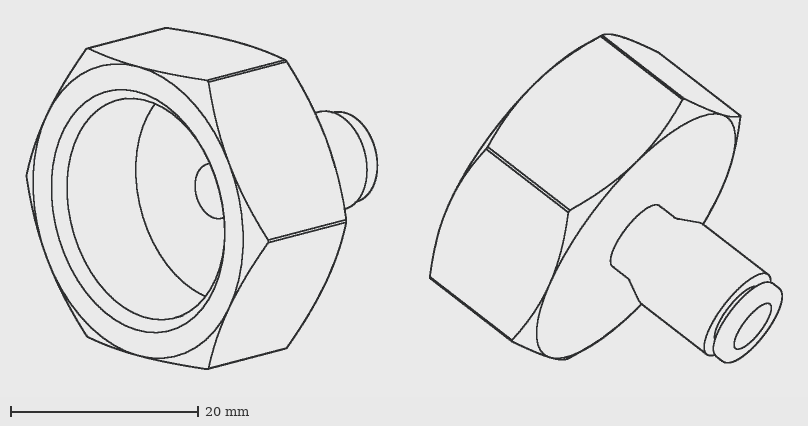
import cadquery as cq
import math

across_flats = 32.0
corner_diameter = 36.8
nut_length = 14.5
corner_chamfer_angle = 30.0

bore_diameter = 24.05
bore_depth = 11.5
mouth_diameter = 26.42
hole_diameter = 6.0

total_length = 31.17
neck_diameter = 8.2
neck_end = 16.93
body_diameter = 10.8
body_start = 19.6
body_end = 29.0
groove_diameter = 7.45
collar_start = 29.77
collar_diameter = 9.9
collar_fillet = 0.3
shoulder_fillet = 0.75


def revolve_profile(points):
    """Revolve a closed (radius, Y) outline about the Y axis."""
    return cq.Workplane("XY").polyline(points).close().revolve(360, (0, 0, 0), (0, 1, 0))


def cylinder(diameter, start, end):
    """Cylinder along +Y between two stations."""
    return (
        cq.Workplane("XZ", origin=(0, start, 0))
        .circle(diameter / 2)
        .extrude(start - end)
    )


def make_nut():
    """Hexagon with flats facing Z, turned to a cone at both ends."""
    hexagon_diameter = across_flats / math.cos(math.radians(30))
    hexagon = cq.Workplane("XZ").polygon(6, hexagon_diameter).extrude(-nut_length)
    face_radius = across_flats / 2
    corner_radius = corner_diameter / 2
    slope = math.tan(math.radians(corner_chamfer_angle))
    chamfer_length = (corner_radius - face_radius) * slope
    envelope = revolve_profile([
        (0, 0),
        (face_radius, 0),
        (corner_radius, chamfer_length),
        (corner_radius, nut_length - chamfer_length),
        (face_radius, nut_length),
        (0, nut_length),
    ])
    return hexagon.intersect(envelope)


def make_stem():
    """Neck flaring out to the tube body, with blended shoulders."""
    neck_radius = neck_diameter / 2
    body_radius = body_diameter / 2
    stem = revolve_profile([
        (0, nut_length),
        (neck_radius, nut_length),
        (neck_radius, neck_end),
        (body_radius, body_start),
        (body_radius, body_end),
        (0, body_end),
    ])
    shoulders = cq.selectors.BoxSelector(
        (-body_diameter, (nut_length + neck_end) / 2, -body_diameter),
        (body_diameter, (body_start + body_end) / 2, body_diameter),
        boundingbox=True,
    )
    return stem.edges("%CIRCLE").edges(shoulders).fillet(shoulder_fillet)


def make_collar():
    """Release collar standing off the body behind a narrow groove."""
    groove = cylinder(groove_diameter, body_end, collar_start)
    collar = cylinder(collar_diameter, collar_start, total_length)
    return groove.union(collar.edges("%CIRCLE").fillet(collar_fillet))


def make_socket():
    """Blind bore with a 45 degree lead-in at its mouth."""
    bore_radius = bore_diameter / 2
    mouth_radius = mouth_diameter / 2
    return revolve_profile([
        (0, 0),
        (mouth_radius, 0),
        (bore_radius, mouth_radius - bore_radius),
        (bore_radius, bore_depth),
        (0, bore_depth),
    ])


through_hole = cylinder(hole_diameter, 0, total_length)
result = make_nut().union(make_stem()).union(make_collar())
result = result.cut(make_socket()).cut(through_hole)